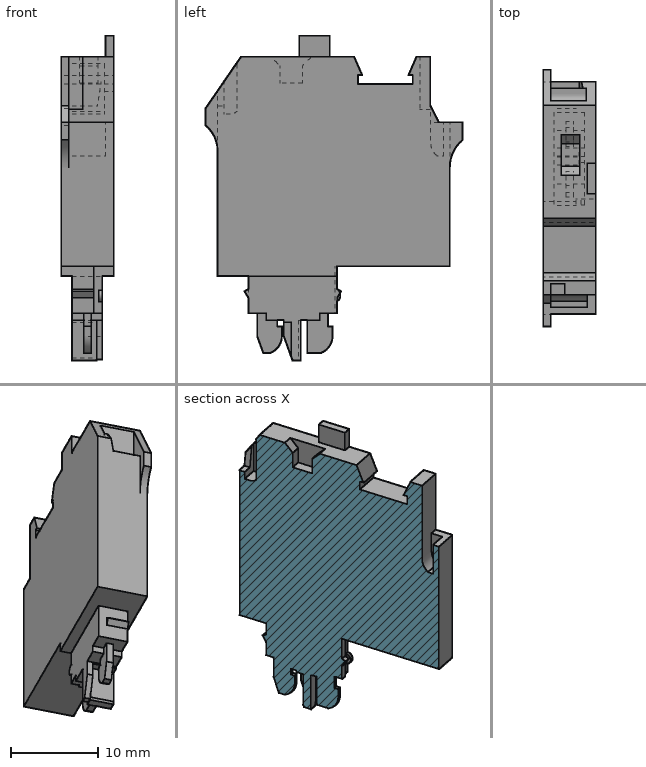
import cadquery as cq
import math


WIDTH = 6.05
DEPTH = 29.5
HEIGHT = 37.25

SIDE_WALL = 0.9
FAR_WALL = 0.95
FRONT_EAR = 1.45
BACK_EAR = 1.38
CORE_BACK = DEPTH - BACK_EAR
TOP = 34.85
FRONT_BOTTOM = 10.8
BACK_BOTTOM = 9.7
BOTTOM_STEP_Y = 14.38
LEDGE_Z = 27.35
FRONT_FACE_Y = 3.7
WALL_SLOPE_Y = 2.72
WALL_SLOPE_Z = 29.25
FRONT_EAR_Z = 25.3
BACK_EAR_TOP = 28.9
BACK_EAR_Z = 26.97
BACK_SLOPE_Y = 25.4
FRONT_EAR_RADIUS = 4.1
BACK_EAR_RADIUS = 3.72

RECESS_FRONT = 5.75
RECESS_BACK = 12.0
RECESS_FLOOR = 31.75
LIP_Z = 32.75
LIP = 0.5
LIP_RUN = 0.93

FAR_WALL_X = WIDTH - FAR_WALL
FRONT_POCKET_Y = 2.25
FRONT_POCKET_FLOOR = 23.45
FRONT_POCKET_ARC_RUN = 0.8
FRONT_POCKET_RADIUS = 1.85
BACK_POCKET_FRONT = 25.93
BACK_POCKET_BACK = 27.38
BACK_POCKET_FLOOR = 28.3
BACK_POCKET_END_X = 4.95
BACK_POCKET_RADIUS = 1.2
BACK_POCKET_SWEEP = math.radians(40)
BACK_NOTCH_FLOOR = 29.25
BACK_NOTCH_END_X = 4.15
BACK_NOTCH_LEAN = 0.15
POST_SLOT_END_X = 2.5
POST_SLOT_BACK = 4.9
POST_SLOT_FLOOR = 28.85
TOP_SLOT_X = (2.05, 4.2)
TOP_SLOT_Y = (17.35, 22.0)
TOP_SLOT_RAMP_RUN = 1.05
TOP_SLOT_RAMP_DROP = 1.05
TOP_SLOT_DEPTH = 2.98

TAB_Y = (15.25, 18.75)

FOOT_X = (1.23, 4.73)
FOOT_BACK = 24.6
FOOT_BOTTOM = 5.4
FOOT_STEP_Y = (16.4, 22.55)
FOOT_STEP_BOTTOM = 4.62
FRONT_RELIEF_X = 3.72
FRONT_RELIEF = 0.3
BARB_TOP = 8.2
BARB_TIP_Z = 7.95
BARB_BOTTOM = 7.2
BARB_REACH = 0.45
BUMP_START_X = 4.3
BUMP_RADIUS = 0.67
BUMP_Z = 7.4

PIN_X = (2.6, 3.43)
PIN_BOTTOM = 0.85
PIN_TAPER_Z = 2.8
PIN_LEDGE_Z = 3.9
PIN_LEDGE = 0.52
PIN_NOSE_RADIUS = 2.12
PIN_NOSE_Z = 2.83
FRONT_PIN_Y = (14.9, 17.85)
BACK_PIN_Y = (20.7, 23.58)
BACK_PIN_TIP_Y = 22.87

BAR_Y = (18.55, 19.63)
BAR_TIP_Y = 19.52
PLATE_X = 4.05
PLATE_SETBACK = 0.3
PLATE_FRONT = BAR_Y[0] + PLATE_SETBACK
PLATE_BACK = 20.52
PLATE_BOTTOM = 0.1
BAR_COLLAR_BOTTOM = 4.4


def box(x_range, y_range, z_range):
    size = [end - start for start, end in (x_range, y_range, z_range)]
    corner = (x_range[0], y_range[0], z_range[0])
    return cq.Workplane("XY").box(*size, centered=False).translate(corner)


def extrude_along_x(outline, x_range):
    """Extrude a closed (Y, Z) outline between two X positions."""
    return outline.close().extrude(x_range[1] - x_range[0]).translate((x_range[0], 0, 0))


def prism(points, x_range):
    return extrude_along_x(cq.Workplane("YZ").polyline(points), x_range)


def vertical_arc(wall_y, run, radius, free_end_z):
    """Middle and wall-end points of an arc that ends tangent to a vertical wall.

    The free end stands `run` away from the wall (signed along Y), above the tangent point."""
    sweep = math.acos(1 - abs(run) / radius)
    wall_z = free_end_z - radius * math.sin(sweep)
    middle_run = math.copysign(radius * (1 - math.cos(sweep / 2)), run)
    middle = (wall_y + middle_run, wall_z + radius * math.sin(sweep / 2))
    return middle, (wall_y, wall_z)


def side_wall():
    back_middle, back_end = vertical_arc(CORE_BACK, BACK_EAR, BACK_EAR_RADIUS, BACK_EAR_Z)
    front_middle, front_end = vertical_arc(FRONT_EAR, -FRONT_EAR, FRONT_EAR_RADIUS, FRONT_EAR_Z)
    outline = (
        cq.Workplane("YZ")
        .moveTo(0, FRONT_EAR_Z)
        .lineTo(0, LEDGE_Z)
        .lineTo(WALL_SLOPE_Y, LEDGE_Z)
        .lineTo(FRONT_FACE_Y, WALL_SLOPE_Z)
        .lineTo(FRONT_FACE_Y, TOP)
        .lineTo(BACK_SLOPE_Y, TOP)
        .lineTo(DEPTH, BACK_EAR_TOP)
        .lineTo(DEPTH, BACK_EAR_Z)
        .threePointArc(back_middle, back_end)
        .lineTo(CORE_BACK, BACK_BOTTOM)
        .lineTo(BOTTOM_STEP_Y, BACK_BOTTOM)
        .lineTo(BOTTOM_STEP_Y, FRONT_BOTTOM)
        .lineTo(FRONT_EAR, FRONT_BOTTOM)
        .lineTo(*front_end)
        .threePointArc(front_middle, (0, FRONT_EAR_Z))
    )
    return extrude_along_x(outline, (0, SIDE_WALL))


def core():
    """Housing beside the side wall, without the overhanging ears."""
    back_slope = (TOP - BACK_EAR_TOP) / (DEPTH - BACK_SLOPE_Y)
    points = [
        (FRONT_EAR, FRONT_BOTTOM),
        (FRONT_EAR, LEDGE_Z),
        (FRONT_FACE_Y, LEDGE_Z),
        (FRONT_FACE_Y, TOP),
        (BACK_SLOPE_Y, TOP),
        (CORE_BACK, BACK_EAR_TOP + back_slope * BACK_EAR),
        (CORE_BACK, BACK_BOTTOM),
        (BOTTOM_STEP_Y, BACK_BOTTOM),
        (BOTTOM_STEP_Y, FRONT_BOTTOM),
    ]
    return prism(points, (SIDE_WALL, WIDTH))


def snap_recess():
    """Undercut recess with sloped lead-in lips, across the full width."""
    front_lip = RECESS_FRONT + LIP
    back_lip = RECESS_BACK - LIP
    points = [
        (RECESS_FRONT, RECESS_FLOOR),
        (RECESS_FRONT, LIP_Z),
        (front_lip, LIP_Z),
        (front_lip - LIP_RUN, TOP),
        (back_lip + LIP_RUN, TOP),
        (back_lip, LIP_Z),
        (RECESS_BACK, LIP_Z),
        (RECESS_BACK, RECESS_FLOOR),
    ]
    return prism(points, (0, WIDTH))


def front_pocket():
    """Pocket behind the front shoulder; its back wall curves forward to a flat floor."""
    floor_back = FRONT_FACE_Y - FRONT_POCKET_ARC_RUN
    sweep = math.acos(1 - FRONT_POCKET_ARC_RUN / FRONT_POCKET_RADIUS)
    arc_top = FRONT_POCKET_FLOOR + FRONT_POCKET_RADIUS * math.sin(sweep)
    centre_y = FRONT_FACE_Y - FRONT_POCKET_RADIUS
    middle = (
        centre_y + FRONT_POCKET_RADIUS * math.cos(sweep / 2),
        arc_top - FRONT_POCKET_RADIUS * math.sin(sweep / 2),
    )
    outline = (
        cq.Workplane("YZ")
        .moveTo(FRONT_POCKET_Y, LEDGE_Z)
        .lineTo(FRONT_FACE_Y, LEDGE_Z)
        .lineTo(FRONT_FACE_Y, arc_top)
        .threePointArc(middle, (floor_back, FRONT_POCKET_FLOOR))
        .lineTo(FRONT_POCKET_Y, FRONT_POCKET_FLOOR)
    )
    return extrude_along_x(outline, (SIDE_WALL, FAR_WALL_X))


def post_slot():
    return box(
        (SIDE_WALL, POST_SLOT_END_X), (FRONT_FACE_Y, POST_SLOT_BACK), (POST_SLOT_FLOOR, TOP)
    )


def back_pocket():
    """Pocket under the back slope; a curve runs from its front wall down to the flat floor."""
    radius = BACK_POCKET_RADIUS
    arc_end_y = BACK_POCKET_FRONT + radius * math.sin(BACK_POCKET_SWEEP)

    def arc_point(angle):
        """Point on the curve, `angle` back from where it meets the floor."""
        return (
            arc_end_y - radius * math.sin(angle),
            BACK_POCKET_FLOOR + radius * (1 - math.cos(angle)),
        )

    outline = (
        cq.Workplane("YZ")
        .moveTo(BACK_POCKET_FRONT, TOP)
        .lineTo(*arc_point(BACK_POCKET_SWEEP))
        .threePointArc(arc_point(BACK_POCKET_SWEEP / 2), (arc_end_y, BACK_POCKET_FLOOR))
        .lineTo(BACK_POCKET_BACK, BACK_POCKET_FLOOR)
        .lineTo(BACK_POCKET_BACK, TOP)
    )
    return extrude_along_x(outline, (SIDE_WALL, BACK_POCKET_END_X))


def back_notch():
    """Opening in the pocket's outer wall with one leaning side."""
    lean = BACK_NOTCH_LEAN * (TOP - BACK_NOTCH_FLOOR)
    points = [
        (SIDE_WALL, BACK_NOTCH_FLOOR),
        (BACK_NOTCH_END_X, BACK_NOTCH_FLOOR),
        (BACK_NOTCH_END_X + lean, TOP),
        (SIDE_WALL, TOP),
    ]
    notch = cq.Workplane("XZ").polyline(points).close().extrude(BACK_POCKET_BACK - CORE_BACK)
    return notch.translate((0, BACK_POCKET_BACK, 0))


def top_slot():
    """Blind slot with a ramp at the rim of each end."""
    front, back = TOP_SLOT_Y
    ramp_bottom = TOP - TOP_SLOT_RAMP_DROP
    floor = TOP - TOP_SLOT_DEPTH
    points = [
        (front, TOP),
        (front + TOP_SLOT_RAMP_RUN, ramp_bottom),
        (front + TOP_SLOT_RAMP_RUN, floor),
        (back - TOP_SLOT_RAMP_RUN, floor),
        (back - TOP_SLOT_RAMP_RUN, ramp_bottom),
        (back, TOP),
    ]
    return prism(points, TOP_SLOT_X)


def marker_tab():
    return box((FAR_WALL_X, WIDTH), TAB_Y, (TOP, HEIGHT))


def barb(face_y, outward):
    """Triangular snap barb; `outward` is the Y direction it points in."""
    points = [
        (face_y, BARB_TOP),
        (face_y + outward * BARB_REACH, BARB_TIP_Z),
        (face_y, BARB_BOTTOM),
    ]
    return prism(points, (FOOT_X[0], FRONT_RELIEF_X))


def foot():
    block = box(FOOT_X, (BOTTOM_STEP_Y, FOOT_BACK), (FOOT_BOTTOM, BACK_BOTTOM))
    step = box(FOOT_X, FOOT_STEP_Y, (FOOT_STEP_BOTTOM, FOOT_BOTTOM))
    return block.union(step).union(barb(BOTTOM_STEP_Y, -1)).union(barb(FOOT_BACK, 1))


def front_relief():
    """Shallow set-back of the foot and housing step on their +X side."""
    relief_y = (BOTTOM_STEP_Y, BOTTOM_STEP_Y + FRONT_RELIEF)
    return box((FRONT_RELIEF_X, WIDTH), relief_y, (FOOT_BOTTOM, FRONT_BOTTOM))


def round_bump():
    bump = cq.Workplane("YZ").circle(BUMP_RADIUS).extrude(FOOT_X[1] - BUMP_START_X)
    return bump.translate((BUMP_START_X, BOTTOM_STEP_Y + FRONT_RELIEF, BUMP_Z))


def contact_pin(y_range, tip_y):
    """Pin with a ledge and rounded nose at the front; `tip_y` is the back of its flat tip."""
    front, back = y_range
    nose_y = front + PIN_NOSE_RADIUS
    nose_end = math.asin((PIN_NOSE_Z - PIN_BOTTOM) / PIN_NOSE_RADIUS)
    nose_middle = (
        nose_y - PIN_NOSE_RADIUS * math.cos(nose_end / 2),
        PIN_NOSE_Z - PIN_NOSE_RADIUS * math.sin(nose_end / 2),
    )
    outline = (
        cq.Workplane("YZ")
        .moveTo(back, FOOT_BOTTOM)
        .lineTo(front + PIN_LEDGE, FOOT_BOTTOM)
        .lineTo(front + PIN_LEDGE, PIN_LEDGE_Z)
        .lineTo(front, PIN_LEDGE_Z)
        .lineTo(front, PIN_NOSE_Z)
        .threePointArc(nose_middle, (nose_y - PIN_NOSE_RADIUS * math.cos(nose_end), PIN_BOTTOM))
        .lineTo(tip_y, PIN_BOTTOM)
        .lineTo(back, PIN_TAPER_Z)
    )
    return extrude_along_x(outline, PIN_X)


def centre_pin():
    taper = (PLATE_BACK - BAR_TIP_Y) / PIN_TAPER_Z
    bar_points = [
        (BAR_Y[0], FOOT_STEP_BOTTOM),
        (BAR_Y[0], 0),
        (BAR_TIP_Y, 0),
        (BAR_Y[1], (BAR_Y[1] - BAR_TIP_Y) / taper),
        (BAR_Y[1], FOOT_STEP_BOTTOM),
    ]
    plate_points = [
        (PLATE_FRONT, FOOT_STEP_BOTTOM),
        (PLATE_FRONT, PLATE_BOTTOM),
        (BAR_TIP_Y + taper * PLATE_BOTTOM, PLATE_BOTTOM),
        (PLATE_BACK, PIN_TAPER_Z),
        (PLATE_BACK, FOOT_STEP_BOTTOM),
    ]
    bar = prism(bar_points, (FOOT_X[0], PLATE_X))
    plate = prism(plate_points, (PLATE_X, FOOT_X[1]))
    collar = box(
        (FOOT_X[0], PLATE_X), (BAR_Y[1], PLATE_BACK), (BAR_COLLAR_BOTTOM, FOOT_STEP_BOTTOM)
    )
    return bar.union(plate).union(collar)


result = side_wall().union(core()).union(foot())

for cut in (
    snap_recess(),
    front_pocket(),
    post_slot(),
    back_pocket(),
    back_notch(),
    top_slot(),
    front_relief(),
):
    result = result.cut(cut)

for addition in (
    marker_tab(),
    round_bump(),
    contact_pin(FRONT_PIN_Y, FRONT_PIN_Y[1]),
    contact_pin(BACK_PIN_Y, BACK_PIN_TIP_Y),
    centre_pin(),
):
    result = result.union(addition)